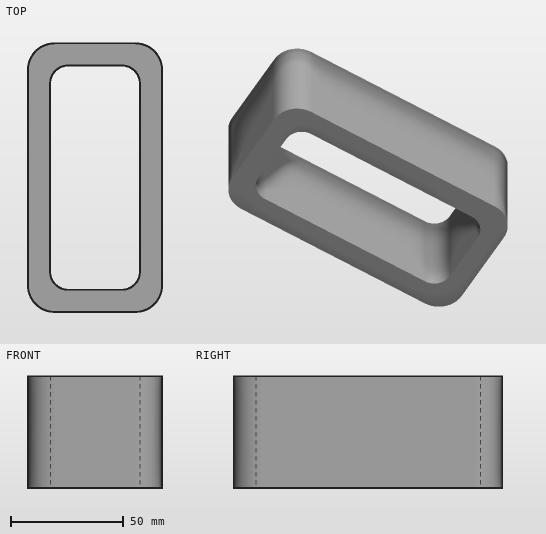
import cadquery as cq

WIDTH = 60.0
LENGTH = 120.0
HEIGHT = 50.0
WALL = 10.0
OUTER_RADIUS = 12.0
INNER_RADIUS = 8.0


def rounded_block(size_x, size_y, corner_radius):
    """Block of full height standing on Z = 0, with rounded vertical edges."""
    block = cq.Workplane("XY").box(size_x, size_y, HEIGHT, centered=(True, True, False))
    return block.edges("|Z").fillet(corner_radius)


body = rounded_block(WIDTH, LENGTH, OUTER_RADIUS)
opening = rounded_block(WIDTH - 2 * WALL, LENGTH - 2 * WALL, INNER_RADIUS)

result = body.cut(opening)